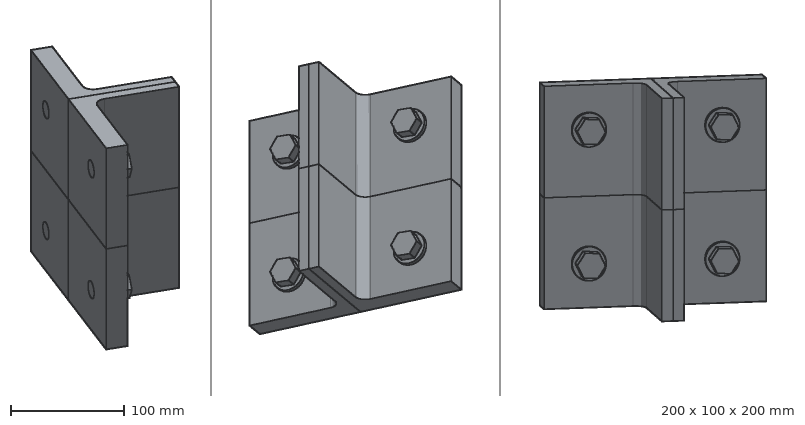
import cadquery as cq

BRACKET_SIZE = 100.0
FLANGE_THICKNESS = 20.0
WEB_THICKNESS = 10.0
FILLET_RADIUS = 10.0

BOLT_OFFSET = 60.0
SHANK_DIAMETER = 16.0
COLLAR_DIAMETER = 30.5
COLLAR_THICKNESS = 3.5
HEAD_CORNER_DIAMETER = 25.5
HEX_SIDES = 6
HEAD_HEIGHT = 10.0
HEAD_TURN = 3.5

SIDES = (-1, 1)
QUADRANTS = [(x_side, z_side) for x_side in SIDES for z_side in SIDES]


def cylinder_along_y(diameter, length, start_y):
    """Cylinder on the Y axis, running from start_y toward +Y."""
    circle = cq.Workplane("XZ", origin=(0, start_y, 0)).circle(diameter / 2)
    return circle.extrude(-length)


def make_bracket(x_side, z_side):
    """L-shaped bracket filling one quadrant, with a through hole for its bolt."""
    profile = (
        cq.Workplane("XY")
        .lineTo(x_side * BRACKET_SIZE, 0)
        .lineTo(x_side * BRACKET_SIZE, FLANGE_THICKNESS)
        .lineTo(x_side * WEB_THICKNESS, FLANGE_THICKNESS)
        .lineTo(x_side * WEB_THICKNESS, BRACKET_SIZE)
        .lineTo(0, BRACKET_SIZE)
        .close()
    )
    bracket = profile.extrude(z_side * BRACKET_SIZE)
    inside_corner = cq.selectors.NearestToPointSelector(
        (x_side * WEB_THICKNESS, FLANGE_THICKNESS, z_side * BRACKET_SIZE / 2)
    )
    bracket = bracket.edges(inside_corner).fillet(FILLET_RADIUS)
    hole = cylinder_along_y(SHANK_DIAMETER, FLANGE_THICKNESS, 0)
    return bracket.cut(hole.translate((x_side * BOLT_OFFSET, 0, z_side * BOLT_OFFSET)))


def make_bolt(x_side, z_side):
    """Hex bolt with a round collar; its shank ends flush with the front face of the flange."""
    head_start = FLANGE_THICKNESS + COLLAR_THICKNESS
    shank = cylinder_along_y(SHANK_DIAMETER, FLANGE_THICKNESS, 0)
    collar = cylinder_along_y(COLLAR_DIAMETER, COLLAR_THICKNESS, FLANGE_THICKNESS)
    head = (
        cq.Workplane("XZ", origin=(0, head_start, 0))
        .polygon(HEX_SIDES, HEAD_CORNER_DIAMETER)
        .extrude(-HEAD_HEIGHT)
        .rotate((0, 0, 0), (0, 1, 0), -HEAD_TURN)
    )
    bolt = shank.union(collar).union(head)
    return bolt.translate((x_side * BOLT_OFFSET, 0, z_side * BOLT_OFFSET))


brackets = [make_bracket(*quadrant).val() for quadrant in QUADRANTS]
bolts = [make_bolt(*quadrant).val() for quadrant in QUADRANTS]

result = cq.Compound.makeCompound([*brackets, *bolts])